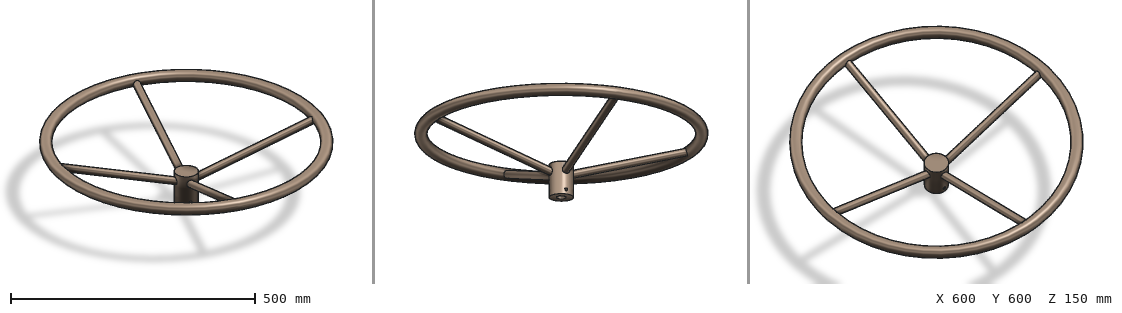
import cadquery as cq
import math

wheel_diameter = 600.0
wheel_height = 150.0

rim_bar_diameter = 25.0
rim_centre_radius = (wheel_diameter - rim_bar_diameter) / 2
rim_centre_height = wheel_height - rim_bar_diameter / 2

hub_diameter = 50.0
hub_height = 70.0
bore_diameter = 20.0
bore_depth = 40.0
pin_hole_diameter = 6.0
pin_hole_height = 10.0

spoke_count = 4
spoke_diameter = 16.0
spoke_axis_height = 45.0
spoke_root_radius = hub_diameter / 4


def make_rim():
    """Round bar section revolved about the Z axis."""
    return (
        cq.Workplane("XZ")
        .center(rim_centre_radius, rim_centre_height)
        .circle(rim_bar_diameter / 2)
        .revolve(360, (-rim_centre_radius, 0), (-rim_centre_radius, 1))
    )


def make_hub():
    return cq.Workplane("XY").circle(hub_diameter / 2).extrude(hub_height)


def make_spoke(angle):
    """Spoke in the vertical plane at the given angle from +X, its inner end buried in the hub wall."""
    slope = (rim_centre_height - spoke_axis_height) / rim_centre_radius
    run = rim_centre_radius - spoke_root_radius
    length = run * math.hypot(1, slope)
    root = cq.Vector(spoke_root_radius, 0, spoke_axis_height + slope * spoke_root_radius)
    bar = cq.Solid.makeCylinder(spoke_diameter / 2, length, root, cq.Vector(1, 0, slope))
    return cq.Workplane(obj=bar).rotate((0, 0, 0), (0, 0, 1), angle)


def make_bore():
    """Blind shaft bore entering from the bottom of the hub."""
    return cq.Workplane("XY").circle(bore_diameter / 2).extrude(bore_depth)


def make_pin_hole():
    """Hole along X through both walls of the hub."""
    return (
        cq.Workplane("YZ")
        .center(0, pin_hole_height)
        .circle(pin_hole_diameter / 2)
        .extrude(hub_diameter / 2, both=True)
    )


wheel = make_rim()
for index in range(spoke_count):
    wheel = wheel.union(make_spoke(index * 360 / spoke_count), clean=False)
wheel = wheel.union(make_hub(), clean=False)
wheel = wheel.cut(make_bore(), clean=False)
wheel = wheel.cut(make_pin_hole(), clean=False)

result = wheel.solids()